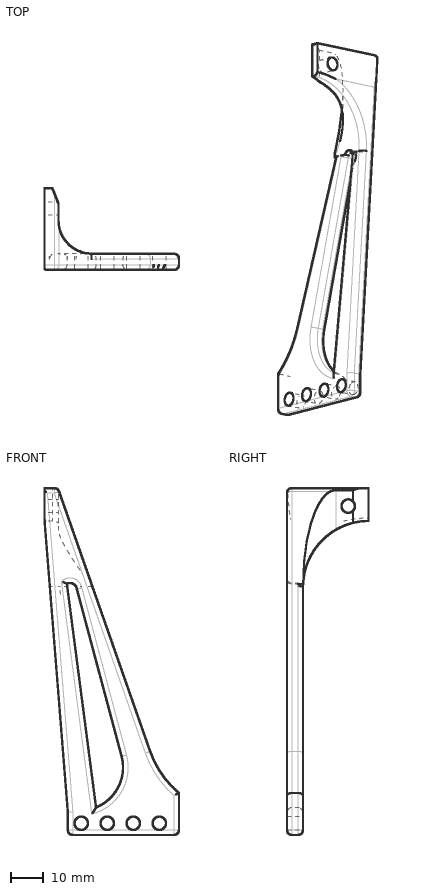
import cadquery as cq

height = 105.7
width = 41.0
depth = 25.0

plate_thickness = 5.0
edge_radius = 1.6
base_left = 7.1
left_bend_height = 7.1
mount_face_bottom = 95.7
tip_right = 4.1
shoulder_start = (32.2, 25.5)
shoulder_end_height = 12.8

window_bottom = (15.8, 8.5)
window_top_left = (6.9, 76.5)
window_peak = (7.6, 76.8)
window_top_right = (9.8, 75.0)
window_side_end = (23.5, 24.0)

flange_thickness = 4.3
flange_end_thickness = 2.4
flange_taper_length = 4.8
inner_corner_radius = 10.0
gusset_radius = depth - plate_thickness
gusset_bottom = mount_face_bottom - gusset_radius
flange_root = plate_thickness / 2

hole_diameter = 4.0
base_hole_count = 4
base_hole_pitch = 7.9
base_hole_start = 11.2
base_hole_height = 3.6
flange_hole_y = 18.7
flange_hole_z = 100.2

margin = 10.6

lean = base_left / (mount_face_bottom - left_bend_height)
tip_left = -lean * (height - mount_face_bottom)


def outline_solid(y_start, y_end):
    """Bracket outline in XZ, extruded between two Y positions, outer corners rounded."""
    solid = (
        cq.Workplane("XZ", origin=(0, y_start, 0))
        .moveTo(base_left, 0)
        .lineTo(base_left, left_bend_height)
        .lineTo(tip_left, height)
        .lineTo(tip_right, height)
        .lineTo(*shoulder_start)
        .tangentArcPoint((width, shoulder_end_height), relative=False)
        .lineTo(width, 0)
        .close()
        .extrude(y_start - y_end)
    )
    bottom_corners = solid.faces("<Z").edges("|Y")
    tip_corner = solid.faces(">Z").edges("|Y").edges(">X")
    return solid.newObject(bottom_corners.vals() + tip_corner.vals()).fillet(edge_radius)


def window_solid():
    """Long window: two straight sides, a bulged lower end and a rounded top."""
    return (
        cq.Workplane("XZ")
        .moveTo(*window_top_right)
        .lineTo(*window_side_end)
        .tangentArcPoint(window_bottom, relative=False)
        .lineTo(*window_top_left)
        .threePointArc(window_peak, window_top_right)
        .close()
        .extrude(-plate_thickness - margin)
    )


def make_plate():
    """Plate with its window, rounded along every edge of the front and back faces."""
    plate = outline_solid(0, plate_thickness).cut(window_solid())
    return plate.faces("<Y or >Y").edges().fillet(edge_radius)


def make_flange():
    """Top flange with an arched underside and a curved inner corner."""
    arch = (
        cq.Workplane("YZ", origin=(-margin, 0, 0))
        .moveTo(flange_root, gusset_bottom)
        .lineTo(plate_thickness, gusset_bottom)
        .radiusArc((depth, mount_face_bottom), gusset_radius)
        .lineTo(depth, height)
        .lineTo(flange_root, height)
        .close()
        .extrude(width + margin)
    )
    body = outline_solid(flange_root, depth).intersect(arch)
    arch_edge = body.edges("%CIRCLE or %ELLIPSE").edges("<X")
    body = body.newObject(arch_edge.vals()).fillet(edge_radius)

    corner_end = flange_thickness + inner_corner_radius
    plan = (
        cq.Workplane("XY")
        .moveTo(-margin, flange_root)
        .lineTo(-margin, depth)
        .lineTo(flange_end_thickness, depth)
        .lineTo(flange_thickness, depth - flange_taper_length)
        .lineTo(flange_thickness, plate_thickness + inner_corner_radius)
        .radiusArc((corner_end, plate_thickness), -inner_corner_radius)
        .lineTo(corner_end, flange_root)
        .close()
        .extrude(height)
    )
    return body.intersect(plan).cut(window_solid())


def cut_holes(bracket):
    """Row of holes along the base and one hole across the flange."""
    centers = [(base_hole_start + i * base_hole_pitch, base_hole_height) for i in range(base_hole_count)]
    base_holes = (
        cq.Workplane("XZ")
        .pushPoints(centers)
        .circle(hole_diameter / 2)
        .extrude(-plate_thickness - margin)
    )
    flange_hole = (
        cq.Workplane("YZ")
        .center(flange_hole_y, flange_hole_z)
        .circle(hole_diameter / 2)
        .extrude(margin)
    )
    return bracket.cut(base_holes).cut(flange_hole)


bracket = make_plate().union(make_flange())

trim = cq.Workplane("XY").box(margin, depth + margin, height + margin, centered=False)
trim = trim.translate((-margin, -margin / 2, 0))
result = cut_holes(bracket.cut(trim))